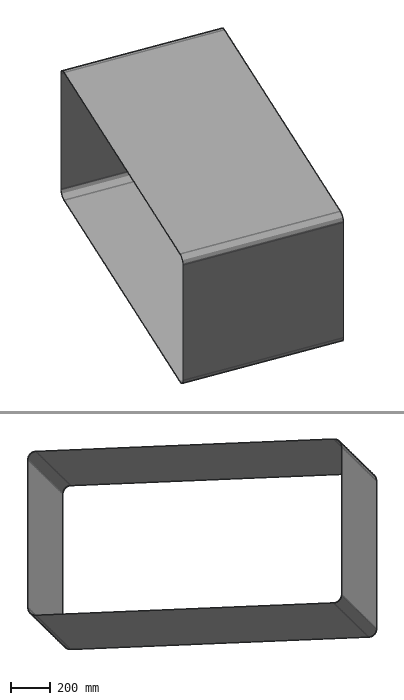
import cadquery as cq

width = 1626.0
depth = 880.0
height = 850.0
corner_radius = 42.0
wall = 2.5


def rounded_block(inset):
    """Block along Y with rounded long edges, inset from the outer faces."""
    return (
        cq.Workplane("XY")
        .box(width - 2 * inset, depth, height - 2 * inset)
        .edges("|Y")
        .fillet(corner_radius - inset)
    )


result = rounded_block(0).cut(rounded_block(wall))